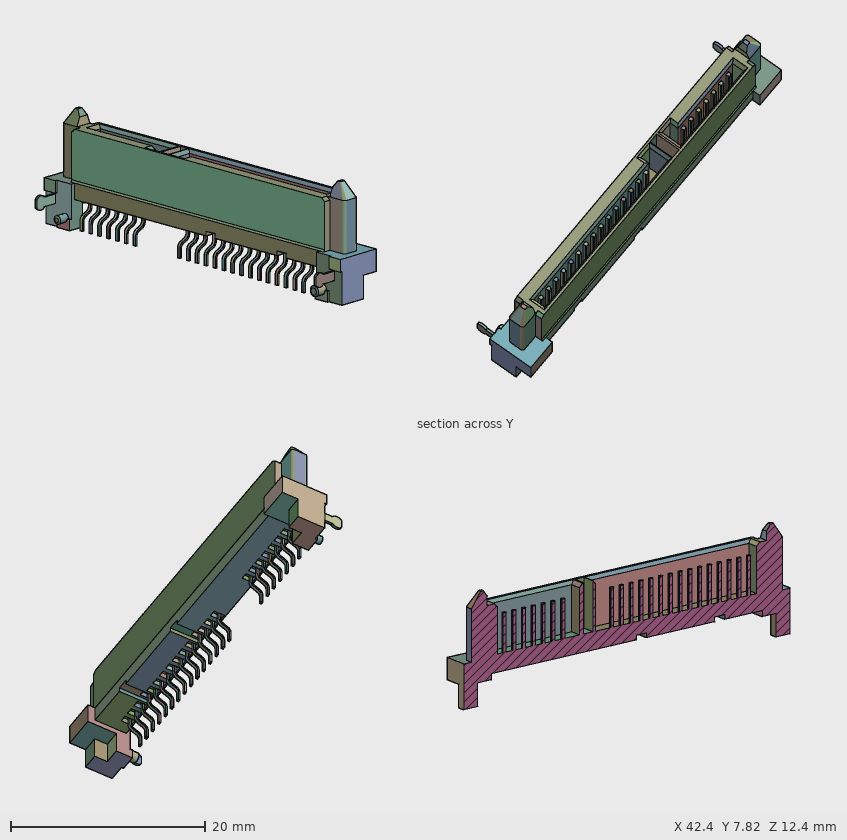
import cadquery as cq
import math


overall_length = 42.4
overall_height = 12.4
overall_width = 7.82
back_end_y = 2.73
front_end_y = back_end_y - overall_width

foot_inner_x = 17.55
foot_top_z = 4.98
foot_front_y = -2.62
foot_recess_y = -2.38
foot_back_step_y = 0.83
foot_back_step_z = 2.55
upper_pad_inner_x = 19.6
upper_pad_bottom_z = 3.62
lower_pad_outer_x = 19.35
lower_pad_top_z = 1.2
foot_notch_front_y = -0.68

shell_half_length = 18.1
shell_half_width = 1.74
shell_top_z = 10.72
shell_end_chamfer_run = 0.42
shell_end_chamfer_drop = 0.35
skirt_top_z = 5.2
skirt_width = 0.13
body_bottom_z = 3.2
body_half_width = shell_half_width + skirt_width

slot_depth = 5.5
slot_floor_z = shell_top_z - slot_depth
slot_lead_in_depth = 0.4
slot_outer_x = 16.8
slot_back_y = 1.18
slot_front_y = -0.24
key_front_y = -1.24
short_slot_end_x = -6.2
short_key_start_x = -7.56
long_slot_start_x = -4.05
long_key_end_x = -2.62
end_lead_in = 0.42
inner_end_lead_in = 0.33
back_lead_in = 0.25
front_lead_in = 0.24
divider_pocket_start_x = -5.58
divider_pocket_end_x = -4.45
divider_pocket_front_y = -1.48
divider_pocket_back_y = 1.43

post_outer_x = 20.22
post_inner_x = shell_half_length
post_half_width = 0.96
post_corner_radius = 0.33
post_tip_outer_x = 19.02
post_tip_inner_x = 18.6
post_tip_half_width = 0.31
post_tip_corner_radius = 0.1
post_inner_bevel_z = 11.7

pin_pitch = 1.27
pin_positions = 26
empty_positions = range(7, 11)
notched_positions = (14, 22)
first_pin_x = -pin_pitch * (pin_positions - 1) / 2
pin_width = 0.35
pin_thickness = 0.22
contact_width = 0.44
contact_tip_width = 0.32
tail_exit_y = -1.3
tail_end_y = -2.54
tail_bend_z = 2.33
tail_knee_z = 1.77
tail_bottom_z = 0.33
tail_inner_radius = 0.5
contact_shoulder_y = 0.08
contact_tip_y = 0.2
contact_top_z = 9.5
well_width = 0.76
well_depth = 0.6
well_front_y = -1.7
well_back_y = -0.5
notch_width = pin_pitch
notch_top_z = 3.7

front_part_embed = 0.13
peg_x = 18.4
peg_z = 1.2
left_peg_diameter = 0.92
right_peg_diameter = 1.18
peg_end_y = -3.68
peg_end_chamfer_run = 0.2
peg_end_chamfer_rise = 0.12
blade_x = 19.97
blade_thickness = 0.28
blade_z = 2.94
blade_half_height = 0.51
blade_bulge_half_height = 0.78
blade_bulge_start_y = -3.95
blade_bulge_y = -4.5
blade_tip_half_height = 0.46


def box(x0, x1, y0, y1, z0, z1):
    """Axis-aligned block between two opposite corners."""
    return cq.Workplane("XY").box(x1 - x0, y1 - y0, z1 - z0, centered=False).translate((x0, y0, z0))


def mirror_x(shape):
    return shape.mirror("YZ")


def extrude_yz(points, x0, x1):
    """Prism along X with a polygonal (y, z) section."""
    return cq.Workplane("YZ", origin=(x0, 0, 0)).polyline(points).close().extrude(x1 - x0)


def make_right_foot():
    outer_x = overall_length / 2
    section = [
        (foot_front_y, 0),
        (foot_back_step_y, 0),
        (foot_back_step_y, foot_back_step_z),
        (back_end_y, foot_back_step_z),
        (back_end_y, foot_top_z),
        (foot_front_y, foot_top_z),
    ]
    foot = extrude_yz(section, foot_inner_x, outer_x)
    foot = foot.cut(
        box(foot_inner_x, upper_pad_inner_x, foot_front_y, foot_recess_y, lower_pad_top_z, foot_top_z)
    )
    foot = foot.cut(
        box(lower_pad_outer_x, outer_x, foot_front_y, foot_recess_y, 0, upper_pad_bottom_z)
    )
    return foot.cut(
        box(foot_inner_x, lower_pad_outer_x, foot_notch_front_y, foot_back_step_y, 0, foot_back_step_z)
    )


def make_shell():
    end_profile = [
        (-shell_half_length, foot_top_z),
        (shell_half_length, foot_top_z),
        (shell_half_length, shell_top_z - shell_end_chamfer_drop),
        (shell_half_length - shell_end_chamfer_run, shell_top_z),
        (-shell_half_length + shell_end_chamfer_run, shell_top_z),
        (-shell_half_length, shell_top_z - shell_end_chamfer_drop),
    ]
    shell = (
        cq.Workplane("XZ", origin=(0, shell_half_width, 0))
        .polyline(end_profile).close().extrude(2 * shell_half_width)
    )
    skirt = extrude_yz(
        [
            (-body_half_width, foot_top_z),
            (body_half_width, foot_top_z),
            (shell_half_width, skirt_top_z),
            (-shell_half_width, skirt_top_z),
        ],
        -shell_half_length,
        shell_half_length,
    )
    body = box(
        -foot_inner_x, foot_inner_x, -body_half_width, body_half_width, body_bottom_z, foot_top_z
    )
    return shell.union(skirt).union(body)


def rectangle_wire(x0, x1, y0, y1, z):
    corners = [(x0, y0, z), (x1, y0, z), (x1, y1, z), (x0, y1, z)]
    return cq.Wire.makePolygon([cq.Vector(*corner) for corner in corners], close=True)


def flared_pocket(x0, x1, y0, y1, flares):
    """Straight pocket whose mouth widens by flares = (left, right, front, back)."""
    left, right, front, back = flares
    straight = box(x0, x1, y0, y1, slot_floor_z, shell_top_z)
    throat = rectangle_wire(x0, x1, y0, y1, shell_top_z - slot_lead_in_depth)
    mouth = rectangle_wire(x0 - left, x1 + right, y0 - front, y1 + back, shell_top_z)
    lead_in = cq.Workplane(cq.Solid.makeLoft([throat, mouth], True))
    return straight.union(lead_in)


def make_slots():
    """Two L-shaped slots whose key legs face each other across the divider pocket."""
    short_blade = flared_pocket(
        -slot_outer_x, short_slot_end_x, slot_front_y, slot_back_y,
        (end_lead_in, end_lead_in, front_lead_in, back_lead_in),
    )
    short_key = flared_pocket(
        short_key_start_x, short_slot_end_x, key_front_y, slot_back_y,
        (inner_end_lead_in, end_lead_in, front_lead_in, back_lead_in),
    )
    long_blade = flared_pocket(
        long_slot_start_x, slot_outer_x, slot_front_y, slot_back_y,
        (inner_end_lead_in, end_lead_in, front_lead_in, back_lead_in),
    )
    long_key = flared_pocket(
        long_slot_start_x, long_key_end_x, key_front_y, slot_back_y,
        (inner_end_lead_in, end_lead_in, front_lead_in, back_lead_in),
    )
    divider_pocket = box(
        divider_pocket_start_x, divider_pocket_end_x,
        divider_pocket_front_y, divider_pocket_back_y,
        slot_floor_z, shell_top_z,
    )
    return short_blade.union(short_key).union(long_blade).union(long_key).union(divider_pocket)


def post_section(z, outer_x, half_width, corner_radius):
    """Horizontal post outline with rounded outer corners."""
    r = corner_radius
    r45 = r * (1 - math.sqrt(0.5))
    return (
        cq.Workplane("XY", origin=(0, 0, z))
        .moveTo(post_inner_x, -half_width)
        .lineTo(outer_x - r, -half_width)
        .threePointArc((outer_x - r45, -half_width + r45), (outer_x, -half_width + r))
        .lineTo(outer_x, half_width - r)
        .threePointArc((outer_x - r45, half_width - r45), (outer_x - r, half_width))
        .lineTo(post_inner_x, half_width)
        .close()
    )


def make_right_post():
    column = post_section(foot_top_z, post_outer_x, post_half_width, post_corner_radius)
    column = column.extrude(shell_top_z - foot_top_z)
    root = box(
        shell_half_length - shell_end_chamfer_run, post_inner_x,
        -post_half_width, post_half_width, foot_top_z, shell_top_z,
    )
    base = post_section(shell_top_z, post_outer_x, post_half_width, post_corner_radius).val()
    tip = post_section(
        overall_height, post_tip_outer_x, post_tip_half_width, post_tip_corner_radius
    ).val()
    point = cq.Workplane(cq.Solid.makeLoft([base, tip], True))
    bevel = (
        cq.Workplane("XZ", origin=(0, post_half_width, 0))
        .moveTo(post_inner_x, post_inner_bevel_z)
        .lineTo(post_inner_x, overall_height)
        .lineTo(post_tip_inner_x, overall_height)
        .close().extrude(2 * post_half_width)
    )
    return column.union(root).union(point.cut(bevel))


def pin_x(position):
    return first_pin_x + position * pin_pitch


def two_step_contact(x):
    """Contact raised off the slot's front wall, with a narrower tip on a wider shoulder."""
    steps = [(contact_width, contact_shoulder_y), (contact_tip_width, contact_tip_y)]
    contact = cq.Workplane("XY")
    for width, back_y in steps:
        contact = contact.union(
            box(x - width / 2, x + width / 2, slot_front_y - pin_thickness, back_y,
                slot_floor_z - pin_thickness, contact_top_z)
        )
    return contact


def make_pin(x):
    """Slot contact and the solder tail that leaves the body bottom, bent forward then down."""
    half = pin_thickness / 2
    slope = math.atan2(tail_bend_z - tail_knee_z, tail_exit_y - tail_end_y)
    miter = half * math.tan((math.pi / 2 - slope) / 2)
    tail_section = [
        (tail_exit_y + half, slot_floor_z),
        (tail_exit_y + half, tail_bend_z - miter),
        (tail_end_y + half, tail_knee_z - miter),
        (tail_end_y + half, tail_bottom_z),
        (tail_end_y - half, tail_bottom_z),
        (tail_end_y - half, tail_knee_z + miter),
        (tail_exit_y - half, tail_bend_z + miter),
        (tail_exit_y - half, slot_floor_z),
    ]
    x0 = x - pin_width / 2
    x1 = x + pin_width / 2
    tail = extrude_yz(tail_section, x0, x1)
    tail_outer_radius = tail_inner_radius + pin_thickness
    bends = [
        (tail_exit_y - half, tail_bend_z + miter, tail_inner_radius),
        (tail_exit_y + half, tail_bend_z - miter, tail_outer_radius),
        (tail_end_y + half, tail_knee_z - miter, tail_inner_radius),
        (tail_end_y - half, tail_knee_z + miter, tail_outer_radius),
    ]
    for y, z, radius in bends:
        tail = tail.edges(cq.selectors.NearestToPointSelector((x, y, z))).fillet(radius)
    contact = two_step_contact(x)
    return contact.union(tail)


def make_peg(x, diameter):
    radius = diameter / 2
    profile = [
        (0, foot_recess_y + front_part_embed),
        (radius, foot_recess_y + front_part_embed),
        (radius, peg_end_y + peg_end_chamfer_rise),
        (radius - peg_end_chamfer_run, peg_end_y),
        (0, peg_end_y),
    ]
    peg = cq.Workplane("XY").polyline(profile).close().revolve(360, (0, 0, 0), (0, 1, 0))
    return peg.translate((x, 0, peg_z))


def make_right_blade():
    root_y = foot_recess_y + front_part_embed
    return (
        cq.Workplane("YZ", origin=(blade_x - blade_thickness / 2, 0, 0))
        .moveTo(root_y, blade_z + blade_half_height)
        .lineTo(blade_bulge_start_y, blade_z + blade_half_height)
        .threePointArc(
            (blade_bulge_y, blade_z + blade_bulge_half_height),
            (front_end_y, blade_z + blade_tip_half_height),
        )
        .lineTo(front_end_y, blade_z - blade_tip_half_height)
        .threePointArc(
            (blade_bulge_y, blade_z - blade_bulge_half_height),
            (blade_bulge_start_y, blade_z - blade_half_height),
        )
        .lineTo(root_y, blade_z - blade_half_height)
        .close().extrude(blade_thickness)
    )


def make_housing():
    housing = make_shell().cut(make_slots())
    for position in notched_positions:
        x = pin_x(position)
        housing = housing.cut(
            box(x - notch_width / 2, x + notch_width / 2,
                -body_half_width, body_half_width, body_bottom_z, notch_top_z)
        )
    for end_part in (make_right_foot(), make_right_post(), make_right_blade()):
        housing = housing.union(end_part).union(mirror_x(end_part))
    housing = housing.union(make_peg(-peg_x, left_peg_diameter))
    return housing.union(make_peg(peg_x, right_peg_diameter))


def make_well(position):
    """Shallow pocket in the body bottom around one solder tail."""
    x = pin_x(position)
    bottom_z = notch_top_z if position in notched_positions else body_bottom_z
    return box(
        x - well_width / 2, x + well_width / 2,
        well_front_y, well_back_y, bottom_z, bottom_z + well_depth,
    )


result = make_housing()
for position in range(pin_positions):
    if position not in empty_positions:
        result = result.cut(make_well(position)).union(make_pin(pin_x(position)))